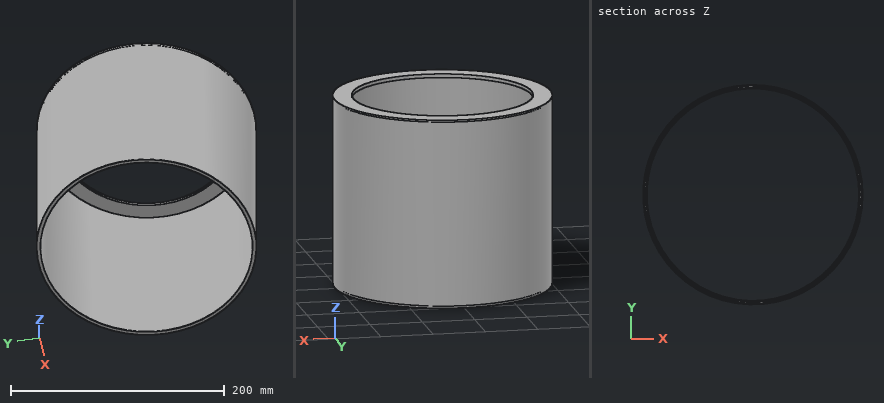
import cadquery as cq

outer_diameter = 205.7
height = 181.0
lip_diameter = 169.7
lip_thickness = 3.5
bore_diameter = 198.5

skin_thickness = 1.0
gap_end_cover = 2.0
gap_inner_diameter = bore_diameter + 2 * skin_thickness
gap_outer_diameter = outer_diameter - 2 * skin_thickness


def disc(diameter, bottom, top):
    """Upright cylinder on the Z axis between two heights."""
    return cq.Workplane("XY").workplane(offset=bottom).circle(diameter / 2).extrude(top - bottom)


body = disc(outer_diameter, 0, height)

bore = disc(bore_diameter, 0, height - lip_thickness)

opening = disc(lip_diameter, 0, height)

gap_bottom = gap_end_cover
gap_top = height - gap_end_cover
gap = disc(gap_outer_diameter, gap_bottom, gap_top).cut(disc(gap_inner_diameter, gap_bottom, gap_top))

result = body.cut(bore).cut(opening).cut(gap)